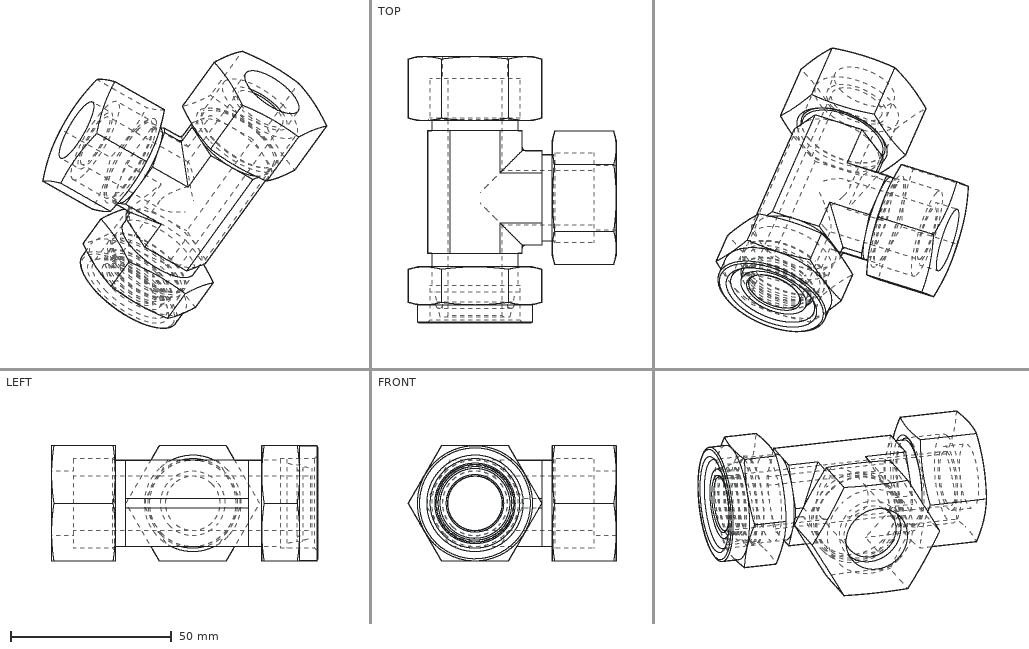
import cadquery as cq
import math

bore_radius = 8.5

forging_flats = 26.9
forging_half_width = 14.7
forging_reach = 20.9
forging_front_reach = 17.3
crotch_radius = 1.2

stub_radius = 13.45
thread_radius = 13.95
thread_start = 24.9
stub_reach = 37.1

nut_flats = 36.0
nut_chamfer_angle = 15
nut_chamfer_radius = 17.8
mouth_radius = 15.0

cap_nut_start = 24.0
cap_nut_end = 44.0
cap_step_radius = 14.45
cap_step_depth = 0.4
tube_radius = 10.05

swivel_start = 21.4
swivel_hex_end = 33.3
swivel_end = 39.0
swivel_round_radius = 17.9
swivel_rim_radius = 17.3
swivel_rim_chamfer = 0.4

nose_tip_radius = 10.9
nose_half_angle = 12
nose_base_radius = 12.5
bore_chamfer = 0.5
collar_width = 2.0

ring_radius = 11.1
ring_wire_radius = 1.0
ring_setback = 3.7

nose_length = (nose_base_radius - nose_tip_radius) / math.tan(math.radians(nose_half_angle))
shoulder_reach = stub_reach - nose_length
collar_reach = shoulder_reach - collar_width
ring_reach = stub_reach - ring_setback
forging_corner = forging_flats / math.sqrt(3)
forging_side_flat = 2 * (forging_corner - forging_half_width) * math.tan(math.radians(60))
mouth_depth = mouth_radius - thread_radius
cap_mouth_depth = cap_step_depth + cap_step_radius - thread_radius


def hexagon(flats, start, end):
    """Hexagonal bar along Z with two flats facing +-Y."""
    corner_diameter = flats / math.cos(math.pi / 6)
    return cq.Workplane("XY").workplane(offset=start).polygon(6, corner_diameter).extrude(end - start)


def disc(radius, start, end):
    return cq.Workplane("XY").workplane(offset=start).circle(radius).extrude(end - start)


def turned(profile):
    """Solid of revolution about Z from (radius, height) points."""
    return cq.Workplane("XZ").polyline(profile).close().revolve(360, (0, 0, 0), (0, 1, 0))


def to_back(shape):
    return shape.rotate((0, 0, 0), (1, 0, 0), -90)


def to_front(shape):
    return shape.rotate((0, 0, 0), (1, 0, 0), 90)


def to_branch(shape):
    return to_back(shape).rotate((0, 0, 0), (0, 0, 1), -90)


def forged_arm(start, end):
    """Hexagonal arm with its two side corners cut to narrow flats."""
    length = end - start
    slab = cq.Workplane("XY").workplane(offset=start).rect(2 * forging_half_width, forging_flats).extrude(length)
    return hexagon(forging_flats, start, end).intersect(slab)


def crotch_web(side):
    """Concave corner fill between the side flats of run and branch, at +Y or -Y."""
    start = forging_half_width
    tangent = start + crotch_radius
    midpoint = tangent - crotch_radius / math.sqrt(2)
    return (
        cq.Workplane("XY")
        .workplane(offset=-forging_side_flat / 2)
        .moveTo(start, side * start)
        .lineTo(tangent, side * start)
        .threePointArc((midpoint, side * midpoint), (start, side * tangent))
        .close()
        .extrude(forging_side_flat)
    )


def threaded_stub():
    """Neck that widens to the thread over a 45 degree cone."""
    thread_rise = thread_radius - stub_radius
    return turned([
        (0, 0),
        (stub_radius, 0),
        (stub_radius, thread_start - thread_rise),
        (thread_radius, thread_start),
        (thread_radius, stub_reach),
        (0, stub_reach),
    ])


def nose_stub():
    """Neck, retaining collar and sealing cone with its O-ring groove."""
    stub = turned([
        (0, 0),
        (stub_radius, 0),
        (stub_radius, collar_reach),
        (thread_radius, collar_reach),
        (thread_radius, shoulder_reach),
        (nose_base_radius, shoulder_reach),
        (nose_tip_radius, stub_reach),
        (0, stub_reach),
    ])
    groove_start = ring_reach - ring_wire_radius
    groove_end = ring_reach + ring_wire_radius
    groove = disc(thread_radius, groove_start, groove_end).cut(
        disc(ring_radius - ring_wire_radius, groove_start, groove_end)
    )
    countersink = turned([
        (0, stub_reach),
        (bore_radius + bore_chamfer, stub_reach),
        (bore_radius, stub_reach - bore_chamfer),
        (0, stub_reach - bore_chamfer),
    ])
    return stub.cut(groove).cut(countersink)


def make_tee():
    run = to_back(forged_arm(-forging_front_reach, forging_reach))
    branch = to_branch(forged_arm(0, forging_reach))
    forging = run.union(branch).union(crotch_web(1)).union(crotch_web(-1))
    threaded_stubs = to_back(threaded_stub()).union(to_branch(threaded_stub()))
    tee = forging.union(threaded_stubs).union(to_front(nose_stub()))
    run_bore = to_back(disc(bore_radius, -stub_reach, stub_reach))
    branch_bore = to_branch(disc(bore_radius, 0, stub_reach))
    return tee.cut(run_bore).cut(branch_bore)


def chamfered_hexagon(start, end, start_radius, end_radius):
    """Nut hexagon whose corners are turned down from a flat ring at each end."""
    corner = nut_flats / math.sqrt(3)
    slope = math.tan(math.radians(nut_chamfer_angle))
    envelope = turned([
        (0, start),
        (start_radius, start),
        (corner, start + (corner - start_radius) * slope),
        (corner, end - (corner - end_radius) * slope),
        (end_radius, end),
        (0, end),
    ])
    return hexagon(nut_flats, start, end).intersect(envelope)


def make_cap_nut():
    blank = chamfered_hexagon(cap_nut_start, cap_nut_end, nut_chamfer_radius, nut_chamfer_radius)
    cavity = turned([
        (0, cap_nut_start),
        (mouth_radius, cap_nut_start),
        (cap_step_radius, cap_nut_start + cap_step_depth),
        (thread_radius, cap_nut_start + cap_mouth_depth),
        (thread_radius, stub_reach),
        (tube_radius, stub_reach),
        (tube_radius, cap_nut_end),
        (0, cap_nut_end),
    ])
    return blank.cut(cavity)


def make_swivel_nut():
    blank = chamfered_hexagon(swivel_start, swivel_hex_end, nut_chamfer_radius, swivel_round_radius)
    round_end = turned([
        (0, swivel_hex_end),
        (swivel_round_radius, swivel_hex_end),
        (swivel_round_radius, swivel_end - swivel_rim_chamfer),
        (swivel_rim_radius, swivel_end),
        (0, swivel_end),
    ])
    cavity = turned([
        (0, swivel_start),
        (stub_radius, swivel_start),
        (stub_radius, collar_reach),
        (thread_radius, collar_reach),
        (thread_radius, swivel_end - mouth_depth),
        (mouth_radius, swivel_end),
        (0, swivel_end),
    ])
    return blank.union(round_end).cut(cavity)


def make_o_ring():
    return (
        cq.Workplane("XZ")
        .center(ring_radius, ring_reach)
        .circle(ring_wire_radius)
        .revolve(360, (-ring_radius, 0, 0), (-ring_radius, 1, 0))
    )


tee = make_tee()
cap_nuts = [place(make_cap_nut()) for place in (to_back, to_branch)]
swivel_nut = to_front(make_swivel_nut())
o_ring = to_front(make_o_ring())

result = cq.Compound.makeCompound([
    tee.val(),
    *[nut.val() for nut in cap_nuts],
    swivel_nut.val(),
    o_ring.val(),
])